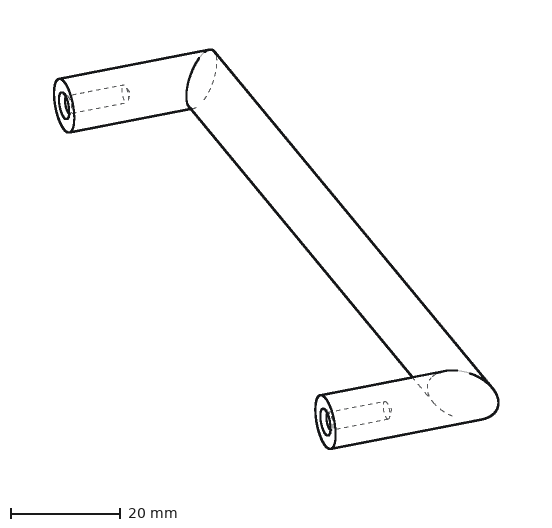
import cadquery as cq
import math

bar_diameter = 10.0
hole_spacing = 128.0
overall_depth = 32.0
thread_core_diameter = 3.3
countersink_diameter = 5.0
hole_depth = 12.0
drill_tip_angle = 118.0

bar_radius = bar_diameter / 2
leg_offset = hole_spacing / 2
grip_axis_y = overall_depth - bar_radius
leg_positions = (-leg_offset, leg_offset)


def mitred_bar():
    """Round bar swept along a U path, with sharp mitred corners."""
    path = cq.Workplane("XY").polyline([
        (-leg_offset, 0),
        (-leg_offset, grip_axis_y),
        (leg_offset, grip_axis_y),
        (leg_offset, 0),
    ])
    section = cq.Workplane("XZ", origin=(-leg_offset, 0, 0)).circle(bar_radius)
    return section.sweep(path, transition="right")


def screw_hole(x):
    """Drilled screw hole with a 90 degree countersunk mouth and conical bottom, along +Y."""
    core_radius = thread_core_diameter / 2
    mouth_radius = countersink_diameter / 2
    countersink_depth = mouth_radius - core_radius
    tip_depth = core_radius / math.tan(math.radians(drill_tip_angle / 2))
    half_section = cq.Workplane("XY").polyline([
        (0, 0),
        (mouth_radius, 0),
        (core_radius, countersink_depth),
        (core_radius, hole_depth),
        (0, hole_depth + tip_depth),
    ]).close()
    return half_section.revolve(360, (0, 0), (0, 1)).translate((x, 0, 0))


result = mitred_bar()
for leg_x in leg_positions:
    result = result.cut(screw_hole(leg_x))